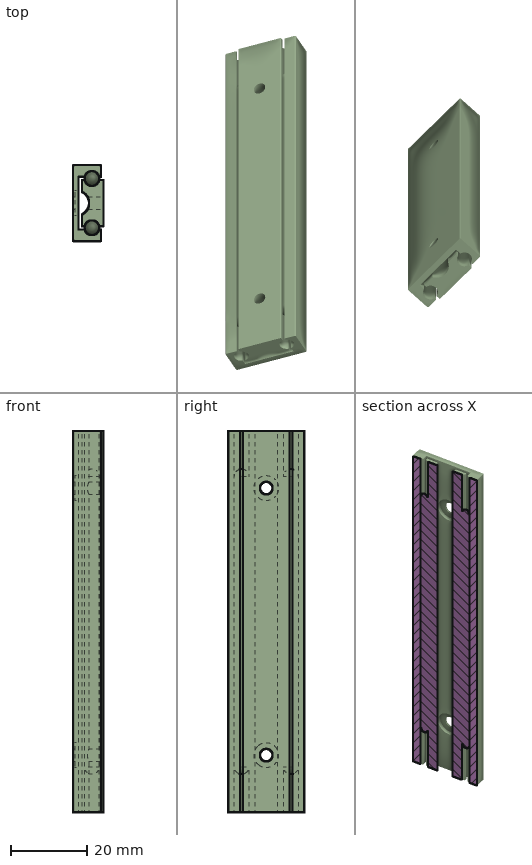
import cadquery as cq

length = 100.0
rail_width = 20.0
slide_depth = 8.0

rail_depth = 7.4
web_thickness = 1.5
lip_inner_y = 6.9

slider_back_x = 2.35
slider_half_width = 6.1

relief_diameter = 6.5
relief_depth = 1.85

rail_edge_radius = 0.3
slider_edge_radius = 0.2

track_diameter = 3.9
track_x = 4.95
track_y = 6.45
track_sides = (-1, 1)

ball_radius = track_diameter / 2
ball_run_inset = 10.0
ball_run_length = length - 2 * ball_run_inset

screw_hole_diameter = 3.24
screw_hole_spacing = 70.0
counterbore_diameter = 6.5
counterbore_floor_x = 0.5


def block(x_min, x_max, half_width):
    """Full-length bar between two X positions, symmetric about Y = 0."""
    return cq.Workplane("XY").box(
        x_max - x_min, 2 * half_width, length, centered=(False, True, True)
    ).translate((x_min, 0, 0))


def lengthwise_rod(diameter, x, y):
    """Full-length round rod along Z, used to cut round channels."""
    return (
        cq.Workplane("XY", origin=(x, y, -length / 2))
        .circle(diameter / 2)
        .extrude(length)
    )


def track(side):
    """Round ball track on one side."""
    return lengthwise_rod(track_diameter, track_x, side * track_y)


def ball_run(side):
    """Round-ended bar filling one track, carried by the slider."""
    half_core = ball_run_length / 2 - ball_radius
    half_run = ball_run_length / 2
    profile = (
        cq.Workplane("XZ", origin=(track_x, side * track_y, 0))
        .moveTo(0, -half_run)
        .radiusArc((ball_radius, -half_core), -ball_radius)
        .lineTo(ball_radius, half_core)
        .radiusArc((0, half_run), -ball_radius)
        .close()
    )
    return profile.revolve(360, (0, 0, 0), (0, 1, 0))


def screw_holes(diameter, x_min, x_max):
    """Pair of round holes along X between two X positions."""
    return (
        cq.Workplane("YZ", origin=(x_min, 0, 0))
        .rarray(1, screw_hole_spacing, 1, 2)
        .circle(diameter / 2)
        .extrude(x_max - x_min)
    )


def make_rail():
    """Outer channel with ball tracks in its lips and counterbored screw holes."""
    rail = block(0, rail_depth, rail_width / 2).edges("|Z").fillet(rail_edge_radius)
    rail = rail.cut(block(web_thickness, rail_depth, lip_inner_y))
    for side in track_sides:
        rail = rail.cut(track(side))
    rail = rail.cut(screw_holes(screw_hole_diameter, 0, web_thickness))
    return rail.cut(screw_holes(counterbore_diameter, counterbore_floor_x, web_thickness))


def make_slider():
    """Inner bar with its back relief, screw holes and the two ball runs."""
    slider = block(slider_back_x, slide_depth, slider_half_width)
    slider = slider.edges("|Z and >X").fillet(slider_edge_radius)
    relief_x = slider_back_x + relief_depth - relief_diameter / 2
    slider = slider.cut(lengthwise_rod(relief_diameter, relief_x, 0))
    slider = slider.cut(screw_holes(screw_hole_diameter, slider_back_x, slide_depth))
    for side in track_sides:
        slider = slider.cut(track(side)).union(ball_run(side))
    return slider


rail = make_rail().solids()
slider = make_slider().solids()

result = cq.Compound.makeCompound([rail.val(), slider.val()])